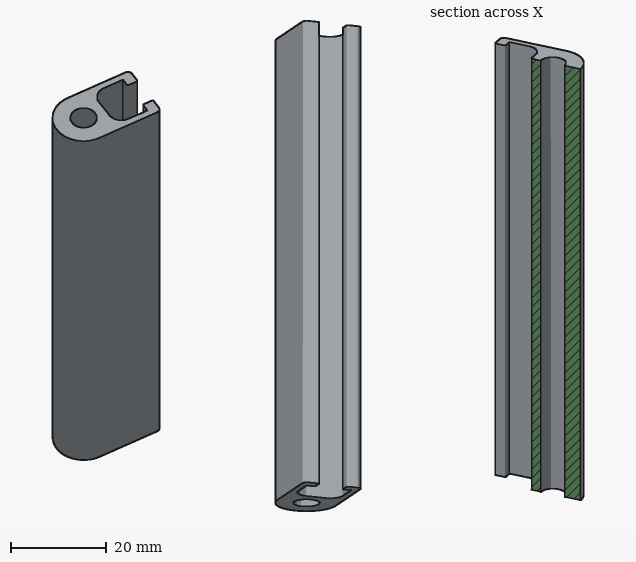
import cadquery as cq

length = 100.0
width = 13.0
depth = 21.5
bore_diameter = 5.5
channel_width = 10.0
channel_floor_depth = 10.0
channel_corner_radius = 2.9
mouth_width = 6.2
lip_thickness = 2.5
lip_corner_radius = 1.0
lip_tip_radius = 0.3

nose_radius = width / 2
open_face_y = depth - nose_radius
channel_floor_y = open_face_y - channel_floor_depth
lip_inner_y = open_face_y - lip_thickness


def box_between(box_width, y_start, y_end):
    """Full-length block centred on X, spanning y_start to y_end."""
    return (
        cq.Workplane("XY")
        .box(box_width, y_end - y_start, length, centered=(True, False, False))
        .translate((0, y_start, 0))
    )


straight_body = box_between(width, 0, open_face_y)
straight_body = straight_body.edges("|Z and >Y").fillet(lip_corner_radius)
nose = cq.Workplane("XY").circle(nose_radius).extrude(length)
body = straight_body.union(nose)

channel = box_between(channel_width, channel_floor_y, lip_inner_y)
channel = channel.edges("|Z and <Y").fillet(channel_corner_radius)

mouth = box_between(mouth_width, lip_inner_y, open_face_y)

bore = cq.Workplane("XY").circle(bore_diameter / 2).extrude(length)

profile = body.cut(channel).cut(mouth).cut(bore)

lip_center_y = (lip_inner_y + open_face_y) / 2
tip_edges = cq.selectors.BoxSelector(
    (-channel_width / 2 + lip_corner_radius, lip_center_y - lip_thickness, 0),
    (channel_width / 2 - lip_corner_radius, lip_center_y + lip_thickness, length),
)
result = profile.edges("|Z").edges(tip_edges).fillet(lip_tip_radius)